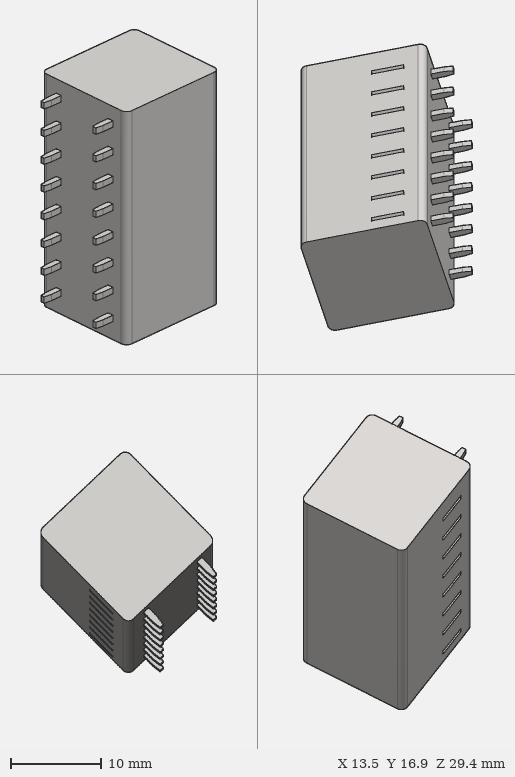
import cadquery as cq

BODY_WIDTH = 13.5
BODY_HEIGHT = 29.4
OVERALL_DEPTH = 16.9
CORNER_RADIUS = 0.82

PIN_LENGTH = 2.5
PIN_STRAIGHT_LENGTH = 1.5
PIN_WIDTH = 0.75
PIN_TIP_WIDTH = 0.5
PIN_THICKNESS = 0.8
PIN_COLUMN_SPACING = 8.2
PIN_COLUMNS_OFFSET = 0.12
ROW_COUNT = 8
ROW_PITCH = 3.5
TOP_ROW_DROP = 2.2

SLOT_LENGTH = 3.68
SLOT_HEIGHT = 0.53
SLOT_DEPTH = 0.85
SLOT_INSET = 2.5
SLOT_DROP = 1.0

BODY_DEPTH = OVERALL_DEPTH - PIN_LENGTH
FRONT_Y = -BODY_DEPTH / 2
LEFT_X = -BODY_WIDTH / 2


def make_body():
    """Block standing on Z = 0, centred in X and Y."""
    block = cq.Workplane("XY").box(BODY_WIDTH, BODY_DEPTH, BODY_HEIGHT, centered=(True, True, False))
    return block.edges("|Z").fillet(CORNER_RADIUS)


def make_pin(x, z):
    """Pin starting on the -Y face; its tip narrows evenly in X."""
    shoulder_y = FRONT_Y - PIN_STRAIGHT_LENGTH
    tip_y = FRONT_Y - PIN_LENGTH
    half_width = PIN_WIDTH / 2
    half_tip = PIN_TIP_WIDTH / 2
    bottom = cq.Workplane("XY", origin=(x, 0, z - PIN_THICKNESS / 2))
    half_outline = (
        bottom.moveTo(0, FRONT_Y)
        .lineTo(half_width, FRONT_Y)
        .lineTo(half_width, shoulder_y)
        .lineTo(half_tip, tip_y)
        .lineTo(0, tip_y)
    )
    return half_outline.mirrorY().extrude(PIN_THICKNESS)


def make_slot(z):
    """Slot with a level floor and a roof that slopes down to meet it inside."""
    near_end = cq.Workplane("XZ", origin=(0, FRONT_Y + SLOT_INSET, 0))
    profile = [
        (LEFT_X, z - SLOT_HEIGHT / 2),
        (LEFT_X + SLOT_DEPTH, z - SLOT_HEIGHT / 2),
        (LEFT_X, z + SLOT_HEIGHT / 2),
    ]
    return near_end.polyline(profile).close().extrude(-SLOT_LENGTH)


result = make_body()
for row in range(ROW_COUNT):
    row_z = BODY_HEIGHT - TOP_ROW_DROP - row * ROW_PITCH
    for side in (-1, 1):
        pin_x = PIN_COLUMNS_OFFSET + side * PIN_COLUMN_SPACING / 2
        result = result.union(make_pin(pin_x, row_z))
    result = result.cut(make_slot(row_z - SLOT_DROP))